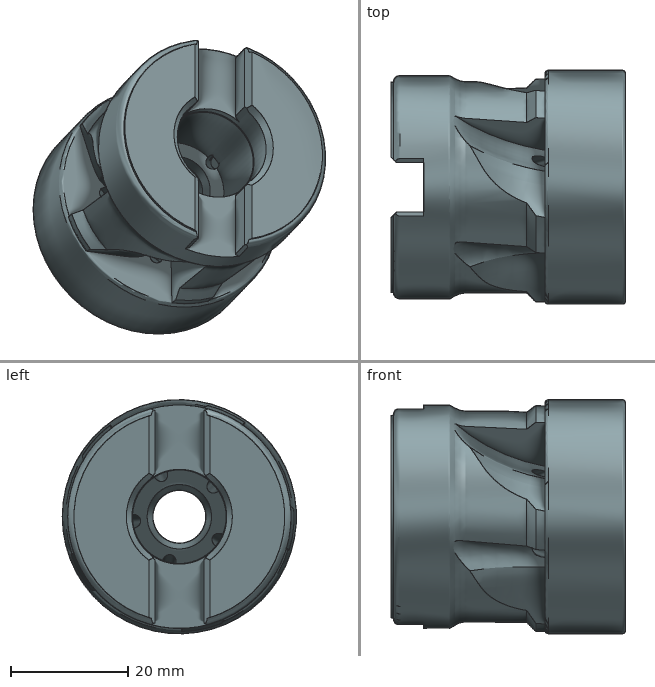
import cadquery as cq
import math

LENGTH = 40.09
HEAD_RADIUS = 20.0
HEAD_START = 26.3
HEAD_FILLET = 0.6

COLLAR_RADIUS = 19.07
COLLAR_END = 10.05
COLLAR_EDGE_RADIUS = 0.6
PILOT_RADIUS = 18.0
PILOT_LENGTH = 0.45
PILOT_ROUND = COLLAR_RADIUS - PILOT_RADIUS
WAIST_RADIUS = 18.05
WAIST_CONE_ANGLE = 30.0
WAIST_FILLET = 3.6
SHOULDER_RADIUS = 19.6
SHOULDER_START = 23.2

BORE_MOUTH_RADIUS = 8.1
BORE_RADIUS = 8.0
BORE_STEP_START = 6.9
BORE_DEPTH = 21.4
BORE_CHAMFER = 0.95
SCREW_HOLE_RADIUS = 4.5
SCREW_HOLE_CHAMFER = 1.0

SLOT_HALF_WIDTH = 4.2
SLOT_DEPTH = 5.6
SLOT_CHAMFER = 1.0
SLOT_EDGE_WIDTH = 0.7
SLOT_EDGE_DEPTH = 0.45

FLUTE_COUNT = 5
FLUTE_PITCH = 360.0 / FLUTE_COUNT
FLUTE_WALL_ANGLE = 37.0
FLUTE_TILT = 5.0
FLUTE_WIDTH = 26.0
FLOOR_CENTER_X = 31.0
FLOOR_ARC_RADIUS = 26.5
FLOOR_BOTTOM_HEIGHT = 11.8
FLOOR_HOLLOW_END = 5.4
FLOOR_FLAT_START = 8.7
FLOOR_SLOPE = 13.5
FLOOR_HOLLOW_RADIUS = 9.0

COOLANT_RADIUS = 1.2
COOLANT_ANGLE = 23.5
COOLANT_EXIT_X = 26.4
COOLANT_EXIT_HEIGHT = 11.5
COOLANT_ENTRY_HEIGHT = 8.1


def about_x(profile):
    """Turn a closed (x, radius) profile about the X axis."""
    return profile.close().revolve(360, (0, 0, 0), (1, 0, 0))


def round_rim(body, x, radius, margin=0.05):
    """Fillet the circular edges that lie in the plane at x."""
    rim = cq.selectors.BoxSelector(
        (x - margin, -margin, -margin), (x + margin, margin, margin)
    )
    return body.edges(rim).fillet(radius)


def make_shank():
    waist_start = COLLAR_END + (COLLAR_RADIUS - WAIST_RADIUS) / math.tan(
        math.radians(WAIST_CONE_ANGLE)
    )
    shoulder_end = SHOULDER_START + SHOULDER_RADIUS - WAIST_RADIUS
    round_mid = PILOT_ROUND * math.sqrt(0.5)
    round_end = PILOT_LENGTH + PILOT_ROUND
    profile = (
        cq.Workplane("XY")
        .lineTo(0, PILOT_RADIUS)
        .lineTo(PILOT_LENGTH, PILOT_RADIUS)
        .threePointArc(
            (round_end - round_mid, PILOT_RADIUS + round_mid),
            (round_end, COLLAR_RADIUS),
        )
        .lineTo(COLLAR_END, COLLAR_RADIUS)
        .lineTo(waist_start, WAIST_RADIUS)
        .lineTo(SHOULDER_START, WAIST_RADIUS)
        .lineTo(shoulder_end, SHOULDER_RADIUS)
        .lineTo(HEAD_START, SHOULDER_RADIUS)
        .lineTo(HEAD_START, 0)
    )
    shank = round_rim(about_x(profile), COLLAR_END, COLLAR_EDGE_RADIUS)
    return round_rim(shank, waist_start, WAIST_FILLET)


def make_head():
    head = (
        cq.Workplane("YZ", origin=(HEAD_START, 0, 0))
        .circle(HEAD_RADIUS)
        .extrude(LENGTH - HEAD_START)
    )
    return head.edges().fillet(HEAD_FILLET)


def make_flute_cutter():
    """Turned disc with its flat side as the wall and its rim as the floor.

    It is built with the wall in the XZ plane and the flute on the -Y side,
    then turned to its angle about X.
    """
    slope = math.radians(FLOOR_SLOPE)
    blend = FLOOR_FLAT_START - FLOOR_HOLLOW_END
    blend_radius = blend / math.sin(slope)
    hollow_end_drop = blend_radius * (1 - math.cos(slope))
    blend_mid_drop = blend_radius * (1 - math.cos(slope / 2))
    blend_mid = FLOOR_FLAT_START - blend_radius * math.sin(slope / 2)
    wall_drop = hollow_end_drop + FLOOR_HOLLOW_END * math.tan(slope)

    hollow_sag = FLOOR_HOLLOW_END**2 / (8 * FLOOR_HOLLOW_RADIUS)
    hollow_mid_drop = (wall_drop + hollow_end_drop) / 2 + hollow_sag

    axis_height = FLOOR_BOTTOM_HEIGHT + FLOOR_ARC_RADIUS
    cutter = (
        cq.Workplane("YZ", origin=(FLOOR_CENTER_X, 0, 0))
        .moveTo(0, axis_height)
        .lineTo(0, FLOOR_BOTTOM_HEIGHT - wall_drop)
        .threePointArc(
            (-FLOOR_HOLLOW_END / 2, FLOOR_BOTTOM_HEIGHT - hollow_mid_drop),
            (-FLOOR_HOLLOW_END, FLOOR_BOTTOM_HEIGHT - hollow_end_drop),
        )
        .threePointArc(
            (-blend_mid, FLOOR_BOTTOM_HEIGHT - blend_mid_drop),
            (-FLOOR_FLAT_START, FLOOR_BOTTOM_HEIGHT),
        )
        .lineTo(-FLUTE_WIDTH, FLOOR_BOTTOM_HEIGHT)
        .lineTo(-FLUTE_WIDTH, axis_height)
        .close()
        .revolve(360, (0, axis_height, 0), (1, axis_height, 0))
    )
    cutter = cutter.rotate((HEAD_START, 0, 0), (HEAD_START, 0, 1), -FLUTE_TILT)
    return cutter.rotate((0, 0, 0), (1, 0, 0), -FLUTE_WALL_ANGLE)


def make_coolant_cutter():
    """Slanted drill from the bore floor out to the flute floor."""
    entry = cq.Vector(BORE_DEPTH, 0, COOLANT_ENTRY_HEIGHT)
    outlet = cq.Vector(COOLANT_EXIT_X, 0, COOLANT_EXIT_HEIGHT)
    path = outlet - entry
    overrun = path.normalized() * COOLANT_RADIUS
    drill = cq.Solid.makeCylinder(
        COOLANT_RADIUS, path.Length + 2 * COOLANT_RADIUS, entry - overrun, path
    )
    return cq.Workplane(obj=drill).rotate((0, 0, 0), (1, 0, 0), -COOLANT_ANGLE)


def cut_around(body, cutter):
    """Cut the same shape once per flute around the X axis."""
    for i in range(FLUTE_COUNT):
        body = body.cut(cutter.rotate((0, 0, 0), (1, 0, 0), i * FLUTE_PITCH))
    return body


def make_bore_cutter():
    step = BORE_MOUTH_RADIUS - BORE_RADIUS
    return about_x(
        cq.Workplane("XY")
        .lineTo(0, BORE_MOUTH_RADIUS + BORE_CHAMFER)
        .lineTo(BORE_CHAMFER, BORE_MOUTH_RADIUS)
        .lineTo(BORE_STEP_START, BORE_MOUTH_RADIUS)
        .lineTo(BORE_STEP_START + step, BORE_RADIUS)
        .lineTo(BORE_DEPTH, BORE_RADIUS)
        .lineTo(BORE_DEPTH, SCREW_HOLE_RADIUS + SCREW_HOLE_CHAMFER)
        .lineTo(BORE_DEPTH + SCREW_HOLE_CHAMFER, SCREW_HOLE_RADIUS)
        .lineTo(LENGTH, SCREW_HOLE_RADIUS)
        .lineTo(LENGTH, 0)
    )


def make_slot_wedge(radius, side):
    """Chamfer where a slot wall meets a cylinder of this radius.

    The side is 1 if the metal lies inside the cylinder and -1 if outside.
    """
    far = SLOT_HALF_WIDTH + SLOT_EDGE_WIDTH
    near_height = math.sqrt(radius**2 - SLOT_HALF_WIDTH**2) - side * SLOT_EDGE_DEPTH
    far_height = math.sqrt(radius**2 - far**2)
    overrun_height = 2 * far_height - near_height
    return (
        cq.Workplane("YZ")
        .moveTo(SLOT_HALF_WIDTH, near_height)
        .lineTo(far + SLOT_EDGE_WIDTH, overrun_height)
        .lineTo(SLOT_HALF_WIDTH, overrun_height)
        .close()
        .extrude(SLOT_DEPTH)
    )


def make_slot_cutter():
    mouth = SLOT_HALF_WIDTH + SLOT_CHAMFER
    slot = (
        cq.Workplane("XY")
        .moveTo(0, -mouth)
        .lineTo(SLOT_CHAMFER, -SLOT_HALF_WIDTH)
        .lineTo(SLOT_DEPTH, -SLOT_HALF_WIDTH)
        .lineTo(SLOT_DEPTH, SLOT_HALF_WIDTH)
        .lineTo(SLOT_CHAMFER, SLOT_HALF_WIDTH)
        .lineTo(0, mouth)
        .close()
        .extrude(HEAD_RADIUS, both=True)
    )
    collar_wedge = make_slot_wedge(COLLAR_RADIUS, 1)
    bore_wedge = make_slot_wedge(BORE_MOUTH_RADIUS, -1)
    wedges = collar_wedge.union(bore_wedge)
    wedges = wedges.union(wedges.mirror("XZ"))
    return slot.union(wedges).union(wedges.mirror("XY"))


shank = cut_around(make_shank(), make_flute_cutter())
body = shank.union(make_head()).cut(make_bore_cutter()).cut(make_slot_cutter())
result = cut_around(body, make_coolant_cutter())